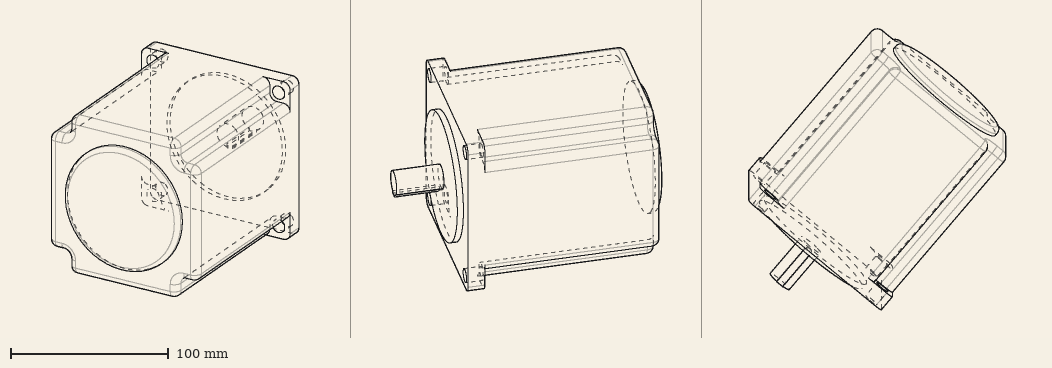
import cadquery as cq

total_length = 166.0
body_length = 126.0
pilot_height = 4.0
cap_height = 5.0
shaft_length = total_length - body_length - pilot_height - cap_height

body_width = 110.0
corner_radius = 5.0
flange_thickness = 11.0
hole_diameter = 9.0
hole_spacing = 93.0

notch_size = 15.0
edge_radius = 5.0

pilot_diameter = 85.5
cap_diameter = 85.0
cap_edge_radius = 3.0
cap_offset_x = 1.5
cap_offset_z = 0.7

shaft_diameter = 16.0
key_width = 5.0
key_length = 30.0
key_reach = 9.3

body_half = body_width / 2
rear_face = -body_length


def disc_along_y(diameter, start_y, end_y, center_x=0.0, center_z=0.0):
    """Cylinder with its axis along Y, from start_y to end_y."""
    plane = cq.Plane(origin=(center_x, start_y, center_z), xDir=(1, 0, 0), normal=(0, 1, 0))
    return cq.Workplane(plane).circle(diameter / 2).extrude(end_y - start_y)


def make_flange():
    """Square mounting flange with rounded corners."""
    block = cq.Workplane("XY").box(body_width, flange_thickness, body_width)
    return block.edges("|Y").fillet(corner_radius).translate((0, -flange_thickness / 2, 0))


def make_housing():
    """Cross-shaped housing: a square with notched corners, rounded at its rim and long edges."""
    housing = cq.Workplane("XY").box(body_width, body_length, body_width)
    notch_center = body_half - notch_size / 2
    for side_x in (-1, 1):
        for side_z in (-1, 1):
            notch = cq.Workplane("XY").box(notch_size, body_length, notch_size)
            notch = notch.translate((side_x * notch_center, 0, side_z * notch_center))
            housing = housing.cut(notch)
    housing = housing.edges("|Y").fillet(edge_radius)
    housing = housing.faces("<Y").edges().fillet(edge_radius)
    return housing.translate((0, -body_length / 2, 0))


def make_cap():
    """Round rear cap, set slightly off the motor axis, with a rounded rim."""
    cap_end = rear_face - cap_height
    cap = disc_along_y(cap_diameter, cap_end, rear_face, cap_offset_x, cap_offset_z)
    return cap.faces("<Y").edges().fillet(cap_edge_radius)


def make_shaft():
    """Pilot boss and output shaft."""
    shaft_end = pilot_height + shaft_length
    pilot = disc_along_y(pilot_diameter, 0, pilot_height)
    return pilot.union(disc_along_y(shaft_diameter, 0, shaft_end))


def make_key():
    """Key flush with the shaft end and round at its inner end, reaching below the shaft."""
    shaft_end = pilot_height + shaft_length
    straight_length = key_length - key_width / 2
    round_center_y = shaft_end - straight_length
    bar = cq.Workplane("XY").box(key_width, straight_length, key_reach, centered=(True, False, False))
    bar = bar.translate((0, round_center_y, -key_reach))
    round_end = cq.Workplane("XY").center(0, round_center_y).circle(key_width / 2).extrude(-key_reach)
    return bar.union(round_end)


def make_mounting_holes():
    """Four through holes in the flange ears."""
    holes = cq.Workplane("XZ").rect(hole_spacing, hole_spacing, forConstruction=True).vertices()
    return holes.circle(hole_diameter / 2).extrude(flange_thickness)


motor = make_housing().union(make_flange()).cut(make_mounting_holes())
result = motor.union(make_cap()).union(make_shaft()).union(make_key())